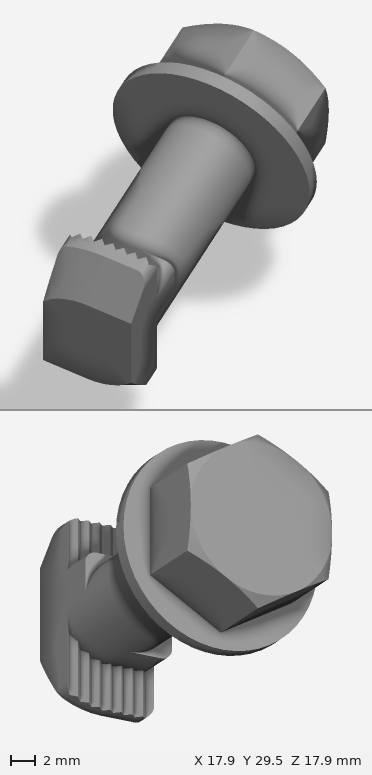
import cadquery as cq
import math


flange_diameter = 17.9
flange_thickness = 1.25
across_flats = 13.0
hex_half_angle = 30
across_corners = across_flats / math.cos(math.radians(hex_half_angle))
hex_height = 6.75
nut_height = flange_thickness + hex_height
corner_chamfer_angle = 30

shank_diameter = 8.0
shank_radius = shank_diameter / 2
grip_length = 13.98
neck_length = 3.0
head_width = shank_diameter
head_length = 2 * head_width
head_half_width = head_width / 2
head_half_length = head_length / 2
head_thickness = 4.5
head_chamfer = 3.0
corner_fillet = 1.0

neck_y = -grip_length
underside_y = neck_y - neck_length
tip_y = underside_y - head_thickness

tooth_count = 8
tooth_pitch = head_width / tooth_count
tooth_depth = tooth_pitch / 2


def with_half_turn(shape):
    """Join a shape with its copy turned 180 degrees about the bolt axis."""
    return shape.union(shape.rotate((0, 0, 0), (0, 1, 0), 180))


def cylinder(diameter, start_y, length):
    """Cylinder on the bolt axis that runs from start_y toward -Y."""
    return cq.Workplane("XZ", origin=(0, start_y, 0)).circle(diameter / 2).extrude(length)


def make_nut():
    """Hexagon nut with an integral flange and a plain through bore."""
    hexagon = (
        cq.Workplane("XZ", origin=(0, nut_height, 0))
        .polygon(6, across_corners)
        .extrude(nut_height)
        .rotate((0, 0, 0), (0, 1, 0), hex_half_angle)
    )

    flat_radius = across_flats / 2
    cone_radius = across_corners
    cone_drop = (cone_radius - flat_radius) * math.tan(math.radians(corner_chamfer_angle))
    turned_blank = (
        cq.Workplane("XY")
        .moveTo(0, 0)
        .lineTo(cone_radius, 0)
        .lineTo(cone_radius, nut_height - cone_drop)
        .lineTo(flat_radius, nut_height)
        .lineTo(0, nut_height)
        .close()
        .revolve(360, (0, 0), (0, 1))
    )

    flange = cylinder(flange_diameter, flange_thickness, flange_thickness)
    bore = cylinder(shank_diameter, nut_height, nut_height)
    return hexagon.intersect(turned_blank).union(flange).cut(bore)


def make_head_outline():
    """Head prism: each end is half straight and half an arc about the bolt axis."""
    arc_end_z = math.sqrt(head_half_length**2 - head_half_width**2)
    middle_angle = math.asin(head_half_width / head_half_length) / 2
    arc_middle_x = head_half_length * math.sin(middle_angle)
    arc_middle_z = head_half_length * math.cos(middle_angle)
    return (
        cq.Workplane("XZ", origin=(0, underside_y, 0))
        .moveTo(head_half_width, head_half_length)
        .lineTo(0, head_half_length)
        .threePointArc((-arc_middle_x, arc_middle_z), (-head_half_width, arc_end_z))
        .lineTo(-head_half_width, -head_half_length)
        .lineTo(0, -head_half_length)
        .threePointArc((arc_middle_x, -arc_middle_z), (head_half_width, -arc_end_z))
        .close()
        .extrude(head_thickness)
        .edges("|Y")
        .edges("<X or >X")
        .fillet(corner_fillet)
    )


def make_chamfer_envelope():
    """Block with 45 degree ends: flat over the straight halves, conical over the arcs."""
    tip_reach = head_half_length - head_chamfer
    profile = [
        (tip_y, 0),
        (tip_y, tip_reach),
        (underside_y, tip_reach + head_thickness),
        (underside_y, 0),
    ]
    flat_quarter = cq.Workplane("YZ").polyline(profile).close().extrude(head_width)
    conical_quarter = cq.Workplane("YZ").polyline(profile).close().revolve(90, (0, 0), (-1, 0))
    return with_half_turn(flat_quarter.union(conical_quarter))


def cut_serrations(head):
    """Cut V grooves along Z in the underside of the head, leaving sharp crests."""
    for index in range(tooth_count):
        left_crest_x = -head_half_width + index * tooth_pitch
        groove = (
            cq.Workplane("XY")
            .moveTo(left_crest_x, underside_y)
            .lineTo(left_crest_x + tooth_pitch / 2, underside_y - tooth_depth)
            .lineTo(left_crest_x + tooth_pitch, underside_y)
            .close()
            .extrude(head_half_length, both=True)
        )
        head = head.cut(groove)
    return head


def make_neck():
    """Anti-rotation neck: round, with two opposite quarters filled out square."""
    length = neck_length + tooth_depth
    square_quarter = (
        cq.Workplane("XZ", origin=(0, neck_y, 0))
        .rect(shank_radius, shank_radius, centered=False)
        .extrude(length)
        .edges("|Y and >X and >Z")
        .fillet(corner_fillet)
    )
    return cylinder(shank_diameter, neck_y, length).union(with_half_turn(square_quarter))


def make_bolt():
    """Hammer-head bolt whose shank ends flush with the outer face of the nut."""
    head = cut_serrations(make_head_outline().intersect(make_chamfer_envelope()))
    shank = cylinder(shank_diameter, nut_height, nut_height + grip_length)
    return shank.union(make_neck()).union(head)


nut = make_nut()
bolt = make_bolt()

result = cq.Compound.makeCompound([nut.solids().val(), bolt.solids().val()])